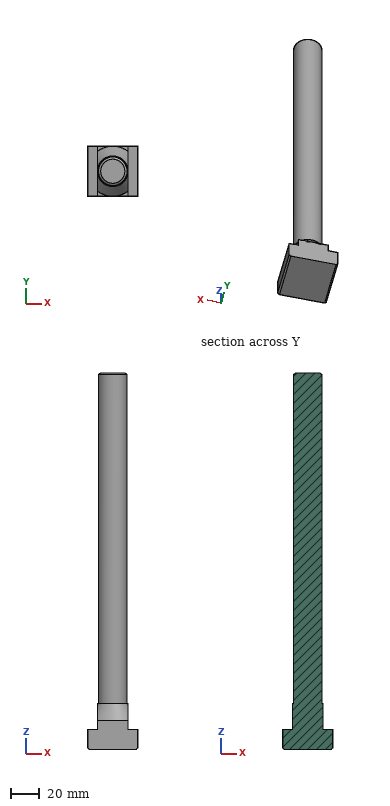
import cadquery as cq

total_height = 264.0
base_side = 35.0

flange_height = 14.3
plinth_height = 20.5
shoulder_height = 32.2

tongue_width = 21.5
bottom_chamfer = 1.3

shaft_diameter = 20.0
tip_chamfer_radial = 1.5
tip_chamfer_height = 1.0


def make_head():
    """Square flange with a narrower tongue running along Y."""
    flange = cq.Workplane("XY").box(base_side, base_side, flange_height, centered=(True, True, False))
    flange = flange.edges("|Y and <Z").chamfer(bottom_chamfer)
    tongue = (
        cq.Workplane("XY").workplane(offset=flange_height)
        .box(tongue_width, base_side, plinth_height - flange_height, centered=(True, True, False))
    )
    return flange.union(tongue)


def make_shoulder():
    """Cone from the tongue up to the shaft, cut flat to the tongue width."""
    cone_height = shoulder_height - plinth_height
    cone = (
        cq.Workplane("XY").workplane(offset=plinth_height)
        .circle(base_side / 2)
        .workplane(offset=cone_height)
        .circle(tongue_width / 2)
        .loft()
    )
    flats = (
        cq.Workplane("XY").workplane(offset=plinth_height)
        .box(tongue_width, base_side, cone_height, centered=(True, True, False))
    )
    return cone.intersect(flats)


def make_shaft():
    """Round shaft with a chamfered tip."""
    radius = shaft_diameter / 2
    half_profile = (
        cq.Workplane("XZ")
        .moveTo(0, flange_height)
        .lineTo(radius, flange_height)
        .lineTo(radius, total_height - tip_chamfer_height)
        .lineTo(radius - tip_chamfer_radial, total_height)
        .lineTo(0, total_height)
        .close()
    )
    return half_profile.revolve(360, (0, 0, 0), (0, 1, 0))


result = make_head().union(make_shoulder()).union(make_shaft())